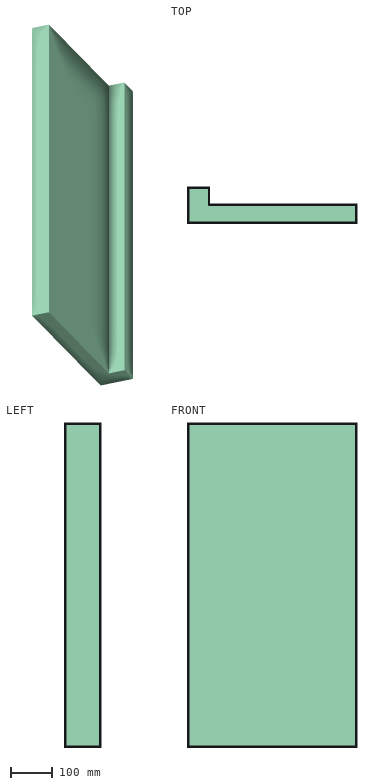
import cadquery as cq

width = 406.4
depth = 85.72
height = 781.04

panel_thickness = 44.45
return_width = 50.8


def make_panel():
    """Flat upright panel with its front face on Y = 0."""
    return cq.Workplane("XY").box(width, panel_thickness, height, centered=False)


def make_return():
    """Full-height leg along the -X edge, reaching the full depth."""
    return cq.Workplane("XY").box(return_width, depth, height, centered=False)


result = make_panel().union(make_return())